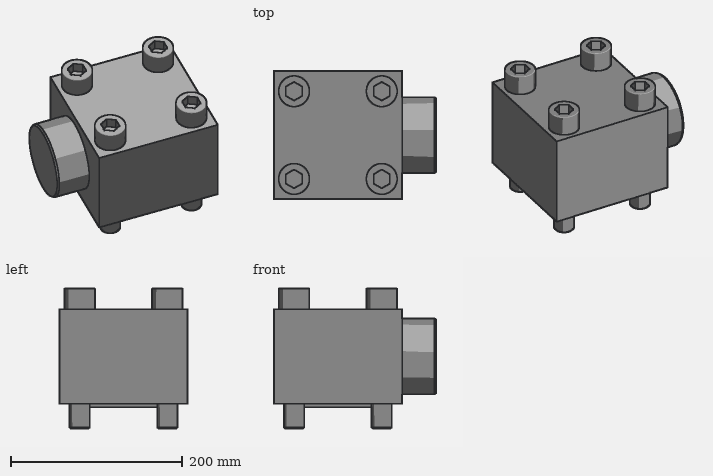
import cadquery as cq
import math

block_width = 150.0
block_height = 111.0

spigot_diameter = 110.0
spigot_height = 4.0

neck_diameter = 88.9
neck_length = 40.0
neck_bevel_end_diameter = 86.23
neck_bevel_angle = 30.0
neck_bevel_length = (neck_diameter - neck_bevel_end_diameter) / 2 / math.tan(math.radians(neck_bevel_angle))
neck_axis_height = block_height / 2

bolt_circle_diameter = 145.0
bolt_offset = bolt_circle_diameter / 2 / math.sqrt(2)
shank_diameter = 24.0
shank_projection = 29.0
shank_chamfer = 1.8
head_diameter = 36.0
head_height = 24.0
head_edge_radius = 1.0
socket_across_flats = 19.0
socket_sides = 6
socket_across_corners = socket_across_flats / math.cos(math.pi / socket_sides)
socket_depth = 12.0


def make_block():
    return cq.Workplane("XY").box(block_width, block_width, block_height, centered=(True, True, False))


def make_spigot():
    return cq.Workplane("XY").circle(spigot_diameter / 2).extrude(-spigot_height)


def make_neck():
    """Cylinder along +X whose outer end is bevelled for welding."""
    radius = neck_diameter / 2
    end = block_width / 2 + neck_length
    profile = [
        (0, 0),
        (0, radius),
        (end - neck_bevel_length, radius),
        (end, neck_bevel_end_diameter / 2),
        (end, 0),
    ]
    neck = cq.Workplane("XZ").polyline(profile).close().revolve(360, (0, 0, 0), (1, 0, 0))
    return neck.translate((0, 0, neck_axis_height))


def make_screw():
    """Screw on the Z axis, its head seated on top of the block."""
    shank = (
        cq.Workplane("XY")
        .workplane(offset=-shank_projection)
        .circle(shank_diameter / 2)
        .extrude(shank_projection + block_height)
        .faces("<Z")
        .chamfer(shank_chamfer)
    )
    head = (
        cq.Workplane("XY")
        .workplane(offset=block_height)
        .circle(head_diameter / 2)
        .extrude(head_height)
        .faces(">Z")
        .fillet(head_edge_radius)
    )
    socket = (
        cq.Workplane("XY")
        .workplane(offset=block_height + head_height)
        .transformed(rotate=(0, 0, 90))
        .polygon(socket_sides, socket_across_corners)
        .extrude(-socket_depth)
    )
    return shank.union(head).cut(socket)


result = make_block().union(make_spigot()).union(make_neck())
for x_side in (-1, 1):
    for y_side in (-1, 1):
        screw = make_screw().translate((x_side * bolt_offset, y_side * bolt_offset, 0))
        result = result.union(screw)